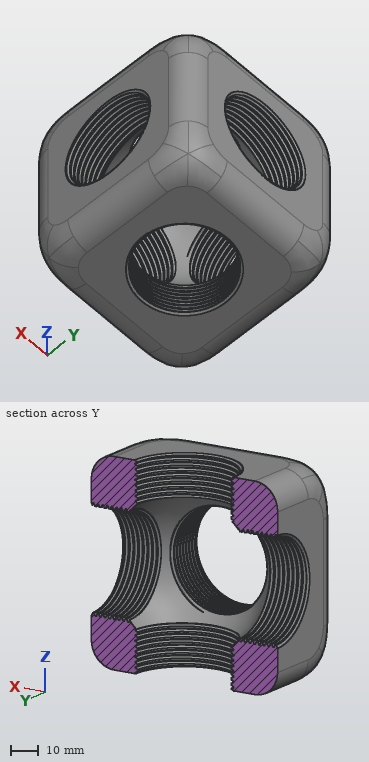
import cadquery as cq
import math

SIZE = 80.0
EDGE_RADIUS = 10.0
FACE_CORNER_RADIUS = 10.0

MINOR_DIAMETER = 40.02
MAJOR_DIAMETER = 42.26
PITCH = 2.0
THREAD_TURNS = 10
FLANK_ANGLE = 30.0
MOUTH_CHAMFER_DEPTH = 0.6
THREAD_START = 255.0
GROOVE_OVERLAP = 0.2

CHAMBER_DIAMETER = 62.0

HALF = SIZE / 2
FLAT_HALF = HALF - EDGE_RADIUS
CORNER_START = FLAT_HALF - FACE_CORNER_RADIUS
DIAGONAL = math.sqrt(0.5)

MINOR_RADIUS = MINOR_DIAMETER / 2
MAJOR_RADIUS = MAJOR_DIAMETER / 2
CUTTER_INNER_RADIUS = MINOR_RADIUS - GROOVE_OVERLAP
CUTTER_HALF_WIDTH = (MAJOR_RADIUS - CUTTER_INNER_RADIUS) * math.tan(math.radians(FLANK_ANGLE))

CENTRE = (0, 0, 0)
SPACE_DIAGONAL = (1, 1, 1)
TURN_ANGLE = 120.0
HALF_TURN = 180.0
AXIS_TURNS = range(3)


def turned(point, turns):
    """Swap x, y, z round in a cycle; three turns come back to the start."""
    x, y, z = point
    for _ in range(turns):
        x, y, z = z, x, y
    return cq.Vector(x, y, z)


def arc_point(centre, radius, degrees):
    """Point on an arc, as its two coordinates in the arc's plane."""
    angle = math.radians(degrees)
    return (centre + radius * math.cos(angle), centre + radius * math.sin(angle))


def corner_apex():
    """Distance of the corner's apex from each middle plane of the cube.

    The ridge from a face corner to the apex is taken as an arc that leaves the
    face tangentially and is square to the space diagonal at the apex.
    """
    slope = math.acos(1 / math.sqrt(3))
    ridge_start = math.sqrt(2) * (CORNER_START + FACE_CORNER_RADIUS * DIAGONAL)
    run_per_radius = math.sin(slope) + math.sqrt(2) * (1 - math.cos(slope))
    ridge_radius = (math.sqrt(2) * HALF - ridge_start) / run_per_radius
    return HALF - ridge_radius * (1 - math.cos(slope))


def corner_patch(turns, mirrored):
    """One of the six four-sided surfaces that blend the (+, +, +) corner."""

    def place(x, y, z):
        return turned((y, x, z) if mirrored else (x, y, z), turns)

    def face_arc(degrees):
        x, y = arc_point(CORNER_START, FACE_CORNER_RADIUS, degrees)
        return place(x, y, HALF)

    def edge_arc(degrees):
        x, z = arc_point(FLAT_HALF, EDGE_RADIUS, degrees)
        return place(x, CORNER_START, z)

    apex = place(*[corner_apex()] * 3)
    outline = [
        cq.Edge.makeThreePointArc(face_arc(0), face_arc(22.5), face_arc(45)),
        cq.Edge.makeSpline([face_arc(45), apex], [place(1, 1, 0), place(1, 1, -2)]),
        cq.Edge.makeSpline([apex, edge_arc(45)], [place(1, -2, 1), place(0, -1, 0)]),
        cq.Edge.makeThreePointArc(edge_arc(45), edge_arc(67.5), edge_arc(90)),
    ]
    return cq.Face.makeNSidedSurface(outline, [])


def corner_flat_faces(turns):
    """Flat sides of the (+, +, +) corner block: a piece of outer face and an inner wall."""

    def face_arc(degrees):
        return arc_point(CORNER_START, FACE_CORNER_RADIUS, degrees)

    def edge_arc(degrees):
        return arc_point(FLAT_HALF, EDGE_RADIUS, degrees)

    outer_face = (
        cq.Workplane("XY", origin=(0, 0, HALF))
        .moveTo(CORNER_START, CORNER_START)
        .lineTo(FLAT_HALF, CORNER_START)
        .threePointArc(face_arc(22.5), face_arc(45))
        .threePointArc(face_arc(67.5), face_arc(90))
        .close()
    )
    inner_wall = (
        cq.Workplane("XY", origin=(0, 0, CORNER_START))
        .moveTo(CORNER_START, CORNER_START)
        .lineTo(HALF, CORNER_START)
        .lineTo(HALF, FLAT_HALF)
        .threePointArc(edge_arc(22.5), edge_arc(45))
        .threePointArc(edge_arc(67.5), edge_arc(90))
        .lineTo(CORNER_START, HALF)
        .close()
    )
    faces = [cq.Face.makeFromWires(outline.val()) for outline in (outer_face, inner_wall)]
    return [face.rotate(CENTRE, SPACE_DIAGONAL, TURN_ANGLE * turns) for face in faces]


def make_corner_block():
    faces = []
    for turns in AXIS_TURNS:
        faces += corner_flat_faces(turns)
        faces += [corner_patch(turns, mirrored) for mirrored in (False, True)]
    return cq.Solid.makeSolid(cq.Shell.makeShell(faces))


def make_body():
    """Rounded cube: three crossing bars with rounded edges, and eight corner blocks."""
    bar = cq.Workplane("XY").rect(SIZE, SIZE).extrude(CORNER_START, both=True)
    bar = bar.edges("|Z").fillet(EDGE_RADIUS)
    bars = [bar.rotate(CENTRE, SPACE_DIAGONAL, TURN_ANGLE * turns).val() for turns in AXIS_TURNS]

    corners = [make_corner_block()]
    for plane in ("YZ", "XZ", "XY"):
        corners += [corner.mirror(plane) for corner in corners]
    return bars[0].fuse(*bars[1:], *corners).clean()


def make_mouth_chamfer():
    cone = cq.Solid.makeCone(MINOR_RADIUS, MAJOR_RADIUS, MOUTH_CHAMFER_DEPTH)
    return cq.Workplane(obj=cone).translate((0, 0, HALF - MOUTH_CHAMFER_DEPTH))


def make_thread_groove():
    """Right-handed helical V groove of the +Z port, from half a pitch above the face."""
    length = PITCH * THREAD_TURNS
    profile = [
        cq.Vector(CUTTER_INNER_RADIUS, 0, -CUTTER_HALF_WIDTH),
        cq.Vector(MAJOR_RADIUS, 0, 0),
        cq.Vector(CUTTER_INNER_RADIUS, 0, CUTTER_HALF_WIDTH),
    ]
    helices = [cq.Wire.makeHelix(PITCH, length, p.x, center=cq.Vector(0, 0, p.z)) for p in profile]
    start_cap = cq.Face.makeFromWires(cq.Wire.makePolygon(profile, close=True))
    faces = [start_cap, start_cap.translate(cq.Vector(0, 0, length))]
    for i in range(len(helices)):
        faces += cq.Face.makeRuledSurface(helices[i - 1], helices[i]).Faces()
    groove = cq.Workplane(obj=cq.Solid.makeSolid(cq.Shell.makeShell(faces)))

    top = HALF + PITCH / 2
    return groove.translate((0, 0, top - length)).rotate(CENTRE, (0, 0, 1), THREAD_START + HALF_TURN)


def make_port():
    """Hollow of the +Z port, from the middle of the cube to the face.

    The bore, thread and chamfer are cut out of a plug one after the other, and
    what they took away is the hollow.
    """
    plug = cq.Workplane("XY").circle(FLAT_HALF).extrude(HALF)
    bore = cq.Workplane("XY").circle(MINOR_RADIUS).extrude(HALF)
    threaded_bush = plug.cut(bore).cut(make_thread_groove()).cut(make_mouth_chamfer())
    return plug.cut(threaded_bush)


def make_all_ports():
    """The +Z and -Z ports, carried round to the X and Y axes as well."""
    port = make_port()
    opposite_port = port.rotate(CENTRE, (0, 1, 0), HALF_TURN)
    return [
        p.rotate(CENTRE, SPACE_DIAGONAL, TURN_ANGLE * turns).val()
        for turns in AXIS_TURNS
        for p in (port, opposite_port)
    ]


def make_chamber():
    return cq.Workplane("XY").sphere(CHAMBER_DIAMETER / 2).val()


part = make_body().cut(*make_all_ports(), make_chamber())
result = cq.Workplane(obj=part).solids()